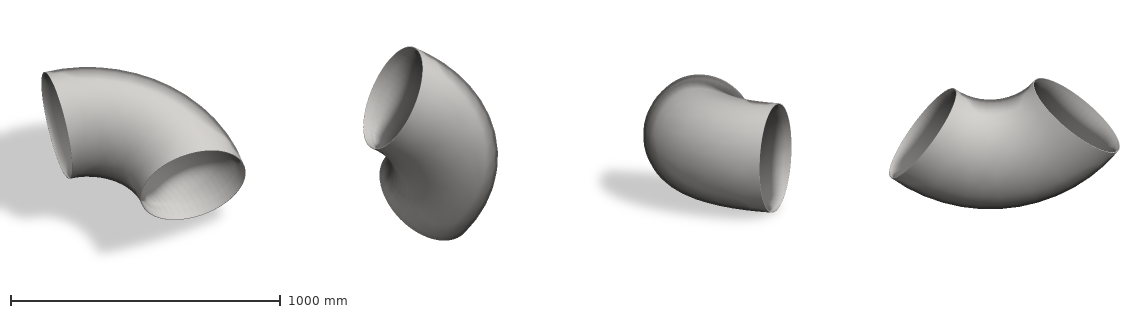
import cadquery as cq

outer_diameter = 406.4
wall_thickness = 3.0
bend_radius = 406.0
bend_angle = 90.0

outer_radius = outer_diameter / 2
inner_radius = outer_radius - wall_thickness


def make_elbow():
    """Sweep the pipe ring around a Z-parallel bend axis.

    The inlet face lies in the XZ plane, centred on the origin, and the
    outlet face points along +X.
    """
    ring = cq.Workplane("XZ").circle(outer_radius).circle(inner_radius)
    axis_start = (bend_radius, 0)
    axis_end = (bend_radius, -1)
    return ring.revolve(bend_angle, axis_start, axis_end)


result = make_elbow()